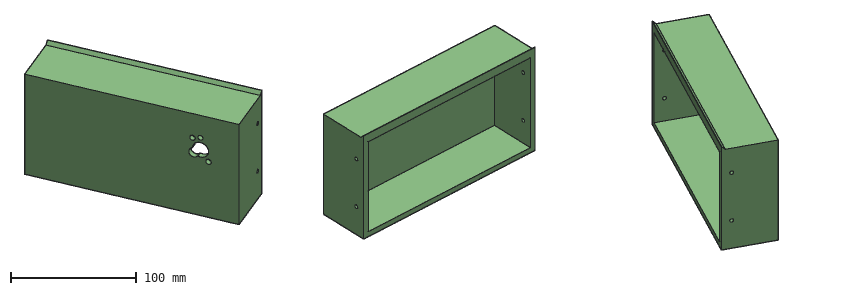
import cadquery as cq
import math

length = 185.0
depth = 47.5
overall_height = 100.0
wall = 5.0

lip_height = 3.0
lip_crest = 0.4
lip_base = lip_crest + lip_height
body_height = overall_height - lip_height

lock_x = 151.7
lock_z = 63.7
lock_diameter = 13.9
slot_width = 8.3
slot_reach = 7.2
slot_angle = 215.0
screw_diameter = 4.6
screw_radius = 12.0
pin_diameter = 4.3
pin_offset = 11.7

mount_diameter = 3.1
mount_setback = 8.7
mount_heights = (27.0, 73.3)


def make_shell():
    """Box with a lip on its top back edge, hollowed from the back."""
    profile = [
        (0, 0),
        (depth, 0),
        (depth, overall_height),
        (depth - lip_crest, overall_height),
        (depth - lip_base, body_height),
        (0, body_height),
    ]
    body = cq.Workplane("YZ").polyline(profile).close().extrude(length)
    cavity = cq.Workplane("XY").box(
        length - 2 * wall, depth - wall, body_height - 2 * wall, centered=False
    )
    return body.cut(cavity.translate((wall, wall, wall)))


def front_hole(x, z, diameter):
    """Cylinder through the front wall."""
    return cq.Workplane("XZ").center(x, z).circle(diameter / 2).extrude(-wall)


def polar_from_lock(radius, angle):
    """Point in the front face at a polar position about the lock centre."""
    turn = math.radians(angle)
    return lock_x + radius * math.cos(turn), lock_z + radius * math.sin(turn)


def cut_lock_opening(body):
    """Round opening with a side slot, two screw holes and a pin hole."""
    body = body.cut(front_hole(lock_x, lock_z, lock_diameter))

    slot_x, slot_z = polar_from_lock(slot_reach / 2, slot_angle)
    slot = (
        cq.Workplane("XZ")
        .center(slot_x, slot_z)
        .slot2D(slot_reach + slot_width, slot_width, slot_angle)
        .extrude(-wall)
    )
    body = body.cut(slot)

    for side in (-90, 90):
        screw_x, screw_z = polar_from_lock(screw_radius, slot_angle + side)
        body = body.cut(front_hole(screw_x, screw_z, screw_diameter))

    return body.cut(front_hole(lock_x, lock_z + pin_offset, pin_diameter))


def cut_mount_holes(body):
    """Holes along X through both end walls, near the open back."""
    centres = [(depth - mount_setback, height) for height in mount_heights]
    holes = cq.Workplane("YZ").pushPoints(centres).circle(mount_diameter / 2).extrude(length)
    return body.cut(holes)


result = cut_mount_holes(cut_lock_opening(make_shell()))